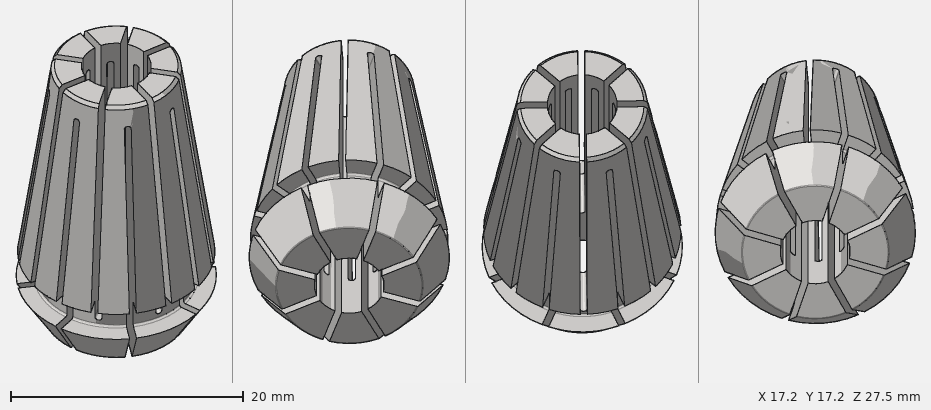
import cadquery as cq
import math

length = 27.5
flange_height = 4.0
taper_start = 6.68

flange_diameter = 17.25
flange_angle = 30.0
groove_radius = 6.9
groove_fillet = 0.2
taper_radius = 8.5
taper_angle = 8.0
bore_radius = 3.0
nose_chamfer = 0.3
base_fillet = 0.1

slot_width = 0.6
slot_count = 8
base_slot_end = 25.5
nose_slot_end = 4.56

flange_radius = flange_diameter / 2
slot_pitch = 360.0 / slot_count
slot_end_radius = slot_width / 2
overshoot = 0.28

flange_inset = flange_height * math.tan(math.radians(flange_angle))
flange_bottom_radius = flange_radius - flange_inset
nose_base_height = length - nose_chamfer
taper_height = nose_base_height - taper_start
nose_base_radius = taper_radius - taper_height * math.tan(math.radians(taper_angle))


def groove_root(corner_height, direction):
    """Midpoint of a groove root fillet; direction is +1 at the flange wall, -1 at the taper wall."""
    inset = groove_fillet * (1 - math.sqrt(0.5))
    return (groove_radius + inset, corner_height + direction * inset)


def turned_body():
    """Bored body of revolution: flange, groove, long taper and chamfered nose."""
    profile = (
        cq.Workplane("XZ")
        .moveTo(bore_radius, 0)
        .lineTo(flange_bottom_radius, 0)
        .lineTo(flange_radius, flange_height)
        .lineTo(groove_radius + groove_fillet, flange_height)
        .threePointArc(groove_root(flange_height, 1), (groove_radius, flange_height + groove_fillet))
        .lineTo(groove_radius, taper_start - groove_fillet)
        .threePointArc(groove_root(taper_start, -1), (groove_radius + groove_fillet, taper_start))
        .lineTo(taper_radius, taper_start)
        .lineTo(nose_base_radius, nose_base_height)
        .lineTo(nose_base_radius - nose_chamfer, length)
        .lineTo(bore_radius, length)
        .close()
    )
    body = profile.revolve(360, (0, 0, 0), (0, 1, 0))
    return body.faces("<Z").edges(cq.selectors.RadiusNthSelector(-1)).fillet(base_fillet)


def slot_cutter(open_end, closed_end, angle):
    """Radial blade running along +X, with a full round at its closed end, turned about Z."""
    toward_opening = math.copysign(slot_end_radius, open_end - closed_end)
    round_start = closed_end + toward_opening
    return (
        cq.Workplane("YZ")
        .moveTo(-slot_end_radius, open_end)
        .lineTo(-slot_end_radius, round_start)
        .threePointArc((0, closed_end), (slot_end_radius, round_start))
        .lineTo(slot_end_radius, open_end)
        .close()
        .extrude(flange_radius + overshoot)
        .rotate((0, 0, 0), (0, 0, 1), angle)
    )


result = turned_body()
for index in range(slot_count):
    base_slot_angle = index * slot_pitch
    nose_slot_angle = base_slot_angle + slot_pitch / 2
    result = result.cut(slot_cutter(-overshoot, base_slot_end, base_slot_angle))
    result = result.cut(slot_cutter(length + overshoot, nose_slot_end, nose_slot_angle))